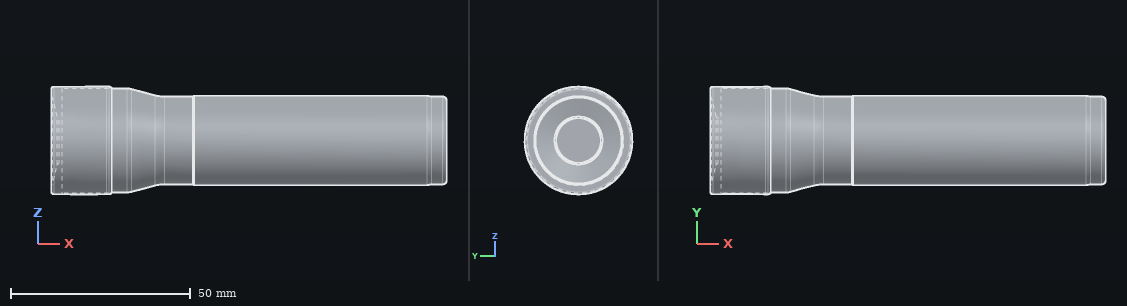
import cadquery as cq
import math


overall_length = 109.95

head_radius = 30.03 / 2
head_front_radius = 14.99
head_fillet = 0.75
rear_fillet = 1.0
rear_land_length = 0.7
rear_fillet_start = 16.0
draft_end = rear_fillet_start - rear_land_length

lip_radius = 12.35
lip_chamfer_width = 0.4
lip_depth = 0.3
dish_inner_radius = 6.7
dish_depth = 1.6
pocket_floor_radius = 6.2
pocket_floor_depth = dish_depth + 0.5
socket_depth = 3.0

shoulder_radius = 29.0 / 2
neck_radius = 24.5 / 2
grip_radius = 25.0 / 2
shoulder_end = 21.0
shoulder_blend_radius = 5.0
neck_blend_radius = 10.0
neck_angle = math.radians(15)
grip_start = 39.4
grip_edge_length = 0.3
grip_end = 104.3
tail_start = 105.6
tail_radius = neck_radius
tail_fillet = 1.25


def quarter_arc_middle(corner_x, corner_radius, size, x_sign):
    """Middle point of a fillet on a sharp corner; x_sign points from the corner into the body."""
    inset = size * (1 - math.sqrt(0.5))
    return corner_x + x_sign * inset, corner_radius - inset


def revolve_about_x(profile):
    return profile.close().revolve(360, (0, 0, 0), (1, 0, 0))


def make_head_cap():
    profile = (
        cq.Workplane("XZ")
        .moveTo(socket_depth, 0)
        .lineTo(pocket_floor_depth, 0)
        .lineTo(pocket_floor_depth, pocket_floor_radius)
        .lineTo(dish_depth, dish_inner_radius)
        .lineTo(lip_depth, lip_radius - lip_chamfer_width)
        .lineTo(0, lip_radius)
        .lineTo(0, head_front_radius - head_fillet)
        .threePointArc(
            quarter_arc_middle(0, head_front_radius, head_fillet, 1),
            (head_fillet, head_front_radius),
        )
        .lineTo(draft_end, head_radius)
        .lineTo(rear_fillet_start, head_radius)
    )
    drop = head_radius - shoulder_radius
    full_angle = math.acos(1 - drop / rear_fillet)

    def rear_fillet_point(angle):
        return (
            rear_fillet_start + rear_fillet * math.sin(angle),
            head_radius - rear_fillet * (1 - math.cos(angle)),
        )

    profile = (
        profile
        .threePointArc(rear_fillet_point(full_angle / 2), rear_fillet_point(full_angle))
        .lineTo(socket_depth, shoulder_radius)
    )
    return revolve_about_x(profile)


def make_barrel():
    def shoulder_point(angle):
        return (
            shoulder_end + shoulder_blend_radius * math.sin(angle),
            shoulder_radius - shoulder_blend_radius * (1 - math.cos(angle)),
        )

    blend_drop = (shoulder_blend_radius + neck_blend_radius) * (1 - math.cos(neck_angle))
    cone_length = (shoulder_radius - neck_radius - blend_drop) / math.tan(neck_angle)
    blend_length = (shoulder_blend_radius + neck_blend_radius) * math.sin(neck_angle)
    neck_start = shoulder_end + blend_length + cone_length

    def neck_point(angle):
        return (
            neck_start - neck_blend_radius * math.sin(angle),
            neck_radius + neck_blend_radius * (1 - math.cos(angle)),
        )

    profile = (
        cq.Workplane("XZ")
        .moveTo(socket_depth, 0)
        .lineTo(socket_depth, shoulder_radius)
        .lineTo(shoulder_end, shoulder_radius)
        .threePointArc(shoulder_point(neck_angle / 2), shoulder_point(neck_angle))
        .lineTo(*neck_point(neck_angle))
        .threePointArc(neck_point(neck_angle / 2), (neck_start, neck_radius))
        .lineTo(grip_start, neck_radius)
        .lineTo(grip_start + grip_edge_length, grip_radius)
        .lineTo(grip_end, grip_radius)
        .lineTo(tail_start, tail_radius)
        .lineTo(overall_length - tail_fillet, tail_radius)
        .threePointArc(
            quarter_arc_middle(overall_length, tail_radius, tail_fillet, -1),
            (overall_length, tail_radius - tail_fillet),
        )
        .lineTo(overall_length, 0)
    )
    return revolve_about_x(profile)


head_cap = make_head_cap()
barrel = make_barrel()

result = cq.Compound.makeCompound([head_cap.val(), barrel.val()])